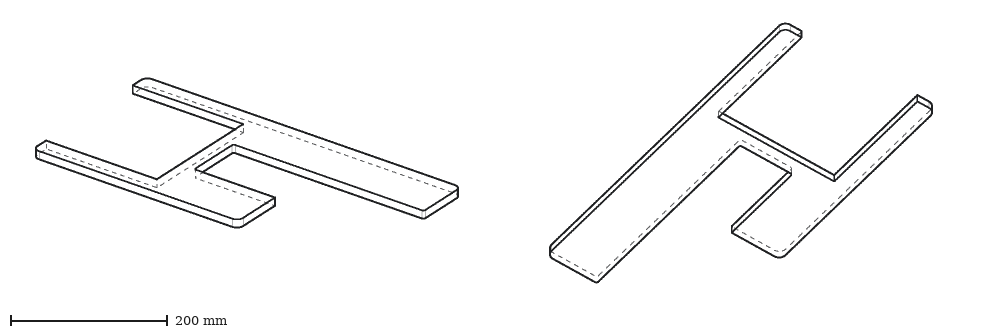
import cadquery as cq

length = 500.0
width = 242.0
thickness = 12.0

arm_width = 28.5
slot_depth = 175.5

web_width = 22.5
upper_bar_width = 80.0
lower_bar_width = 78.5
lower_bar_length = 326.0

outer_radius = 10.0
small_radius = 3.0

web_right = slot_depth + web_width
upper_bar_bottom = width - upper_bar_width

outline = [
    (0, 0),
    (lower_bar_length, 0),
    (lower_bar_length, lower_bar_width),
    (web_right, lower_bar_width),
    (web_right, upper_bar_bottom),
    (length, upper_bar_bottom),
    (length, width),
    (0, width),
    (0, width - arm_width),
    (slot_depth, width - arm_width),
    (slot_depth, arm_width),
    (0, arm_width),
]

outer_corners = [(0, 0), (lower_bar_length, 0), (length, width), (0, width)]
small_corners = [
    (web_right, lower_bar_width),
    (web_right, upper_bar_bottom),
    (length, upper_bar_bottom),
]


def round_corners(plate, corners, radius):
    """Fillet the vertical edges standing at the given plan positions."""
    for x, y in corners:
        edge = plate.edges("|Z").edges(cq.NearestToPointSelector((x, y, thickness / 2)))
        plate = edge.fillet(radius)
    return plate


plate = cq.Workplane("XY").polyline(outline).close().extrude(thickness)
plate = round_corners(plate, outer_corners, outer_radius)
result = round_corners(plate, small_corners, small_radius)